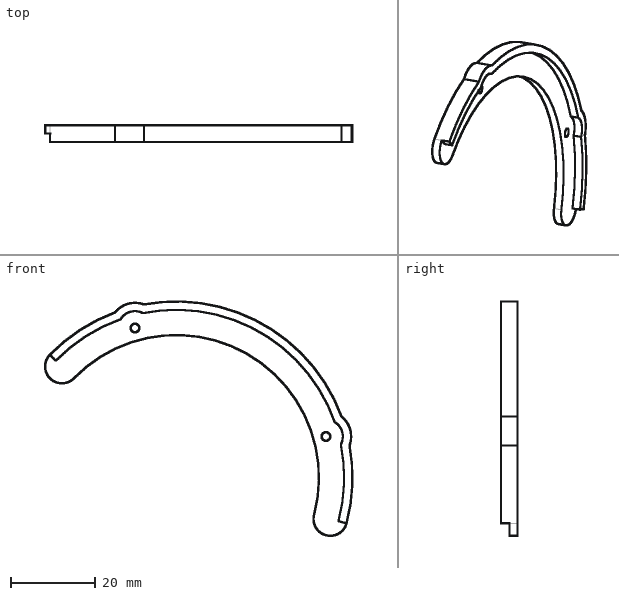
import cadquery as cq
import math

MEAN_RADIUS = 37.75
BAND_WIDTH = 8.0
PLATE_THICKNESS = 2.0
LIP_HEIGHT = 2.0
LIP_WIDTH = 2.0

START_ANGLE = -15.0
END_ANGLE = 135.8
HOLE_ANGLES = (15.4, 105.4)

HOLE_DIAMETER = 2.0
HOLE_CIRCLE_RADIUS = 36.75
BUMP_RADIUS = 6.0

END_RADIUS = BAND_WIDTH / 2
INNER_RADIUS = MEAN_RADIUS - END_RADIUS
OUTER_RADIUS = MEAN_RADIUS + END_RADIUS
LIP_INNER_RADIUS = OUTER_RADIUS - LIP_WIDTH
MIDDLE_ANGLE = (START_ANGLE + END_ANGLE) / 2
FULL_THICKNESS = PLATE_THICKNESS + LIP_HEIGHT


def polar(radius, angle):
    """Point at a radius and an angle in degrees about the arc centre."""
    return (radius * math.cos(math.radians(angle)), radius * math.sin(math.radians(angle)))


HOLE_CENTRES = [polar(HOLE_CIRCLE_RADIUS, angle) for angle in HOLE_ANGLES]


def arc_band(inner_radius, outer_radius, height):
    """Curved band with radial ends, rising from the back face toward -Y."""
    return (
        cq.Workplane("XZ")
        .moveTo(*polar(inner_radius, START_ANGLE))
        .lineTo(*polar(outer_radius, START_ANGLE))
        .threePointArc(polar(outer_radius, MIDDLE_ANGLE), polar(outer_radius, END_ANGLE))
        .lineTo(*polar(inner_radius, END_ANGLE))
        .threePointArc(polar(inner_radius, MIDDLE_ANGLE), polar(inner_radius, START_ANGLE))
        .close()
        .extrude(height)
    )


def discs(centres, radius, height):
    """Round discs standing on the back face."""
    return cq.Workplane("XZ").pushPoints(centres).circle(radius).extrude(height)


def bumped_band(outer_radius, bump_radius, height):
    """Band whose outer edge swells around each hole while its inner edge stays round."""
    bore = cq.Workplane("XZ").circle(INNER_RADIUS).extrude(height)
    bumps = discs(HOLE_CENTRES, bump_radius, height).cut(bore)
    return arc_band(INNER_RADIUS, outer_radius, height).union(bumps)


def make_plate():
    """Flat band with round ends and a swelling at each hole."""
    end_centres = [polar(MEAN_RADIUS, angle) for angle in (START_ANGLE, END_ANGLE)]
    band = bumped_band(OUTER_RADIUS, BUMP_RADIUS, PLATE_THICKNESS)
    return band.union(discs(end_centres, END_RADIUS, PLATE_THICKNESS))


def make_lip():
    """Rim of constant width along the outer edge, between the two radial ends."""
    outside = bumped_band(OUTER_RADIUS, BUMP_RADIUS, FULL_THICKNESS)
    inside = bumped_band(LIP_INNER_RADIUS, BUMP_RADIUS - LIP_WIDTH, FULL_THICKNESS)
    return outside.cut(inside)


holes = discs(HOLE_CENTRES, HOLE_DIAMETER / 2, PLATE_THICKNESS)
result = make_plate().union(make_lip()).cut(holes)